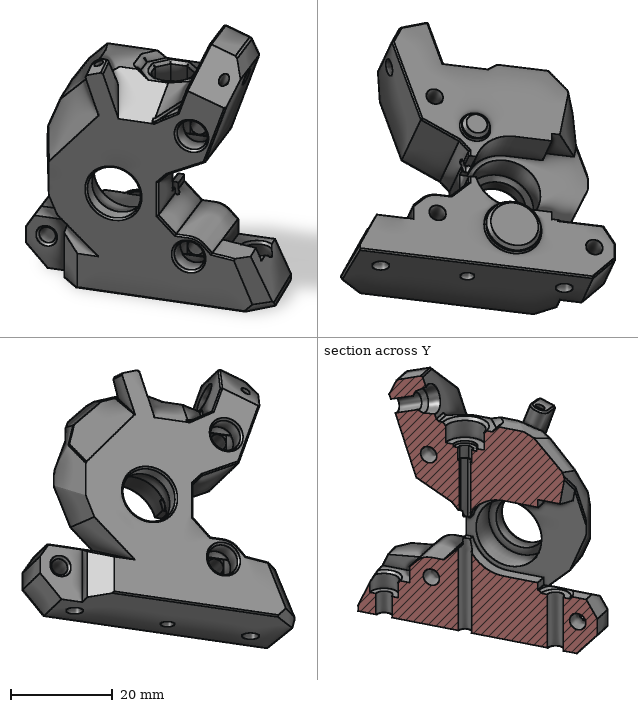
import cadquery as cq
import math

DEPTH = 16.9
BOSS_FACE_Y = 18.4
TOP_Z = 45.9
PAD_Z = 44.55
FAR = 161.05
EDGE = 0.3

LUG_FRONT_Y = 6.9
LUG_RIGHT_X = 8.85
LUG_TOP_Z = 12.2
BASE_CORNER = 4.1
SLOPE_START_Z = 7.6
SLOPE_END_X = 17.3

FACET_EDGE = 0.15
FACET_EDGES = [
    (16.65, 10.9, TOP_Z),
    (6.2, 6.3, 34.75),
    (6.2, 2.7, 29.4),
    (4.5, 7.15, 30.05),
    (5.35, 4.55, 22.05),
]

ARM_TILT = 19
ARM_TOP = (37.9, 53.8)
ARM_SHOULDER = (43.5, 51.8)
ARM_CHAMFER = 7.5

BORE_X = 20.4
BORE_Z = 21.9
BORE_D = 11.0
BORE_CHAMFER = 0.4
SEAT_BORE_D = 14.2
SEAT_BORE_Y = 3.2
CAVITY_D = 16.2
CAVITY_Y = 9.15
SLOT_BOTTOM_Z = 19.7
SLOT_TOP_Z = 24.4
MOUTH_X = 12.9
MOUTH_TOP_Z = 31.7

PATH_X = 28.7
PATH_Y = 11.7
PATH_D = 2.8
SEAT_D = 3.4
SEAT_DEPTH = 3.2

STEP_X = 40.75
STEP_Y = 6.7
STEP_Z = 8.45

SCREW_D = 3.4
HEAD_D = 6.25
HEAD_DEPTH = 4.0
HEAD_CHAMFER = 0.45
BRIDGE_STEP = 0.2
FOOT_HEAD_D = 6.0
FOOT_CHAMFER = 0.55
FOOT_SCREWS = [(9.15, LUG_TOP_Z, 0.55), (46.25, STEP_Z, 3.75)]
LUG_MOUTH_D = 4.4
LUG_HOLE_X = 4.3
LUG_HOLE_Z = 7
FRONT_SCREWS = [(36.55, 36.9), (35.95, 10.45)]
HUMP_R = 4.35
SMALL_HOLE_D = 1.9
PIN_BEVEL = 0.4

ARM_ROOT_BEVEL = 0.45
ARM_ROOT_EDGES = [(34.05, 7, 42.95), (34.8, 12.35, PAD_Z)]
REAR_BEVEL = 0.25
REAR_EDGES = [(4.7, CAVITY_Y, 31.0), (8.3, 14.65, 40.25), (6.4, 10.75, 36.5)]


def prism(points, y_from, y_to):
    """Solid with an outline of (x, z) points, running along Y."""
    outline = cq.Workplane("XZ", origin=(0, y_from, 0)).polyline(points).close()
    return outline.extrude(y_from - y_to)


def cylinder(diameter, start, direction, length):
    return cq.Workplane(cq.Solid.makeCylinder(diameter / 2, length, cq.Vector(start), cq.Vector(direction)))


def cone(diameter_start, diameter_end, start, direction, length):
    return cq.Workplane(
        cq.Solid.makeCone(
            diameter_start / 2, diameter_end / 2, length, cq.Vector(start), cq.Vector(direction)
        )
    )


def slab_beyond(a, b, c, outward):
    """Large slab on the `outward` side of the plane through points a, b and c."""
    origin = cq.Vector(*a)
    along = cq.Vector(*b) - origin
    normal = along.cross(cq.Vector(*c) - origin)
    if normal.dot(cq.Vector(*outward)) < 0:
        normal = -normal
    return cq.Workplane(cq.Plane(origin, along, normal)).rect(FAR, FAR).extrude(FAR)


def arm_point(across, down):
    """(x, z) at a distance across the arm and down along it from its top left corner."""
    tilt = math.radians(ARM_TILT)
    x = ARM_TOP[0] + across * math.cos(tilt) - down * math.sin(tilt)
    z = ARM_TOP[1] - across * math.sin(tilt) - down * math.cos(tilt)
    return (x, z)


def make_plate():
    """Base, foot, wall round the open side and arm, with small edge chamfers front and rear."""
    hump_x, hump_z = FRONT_SCREWS[1]
    hump_end = math.radians(45)
    plate = (
        cq.Workplane("XZ")
        .moveTo(4.5, 0)
        .lineTo(52.4, 0)
        .lineTo(52.4, 1.4)
        .lineTo(51.9, 2.3)
        .lineTo(47.9, 11.0)
        .lineTo(STEP_X, 11.8)
        .lineTo(hump_x + HUMP_R * math.sin(hump_end), hump_z + HUMP_R * math.cos(hump_end))
        .threePointArc(
            (hump_x + HUMP_R * math.sin(hump_end / 2), hump_z + HUMP_R * math.cos(hump_end / 2)),
            (hump_x, hump_z + HUMP_R),
        )
        .lineTo(33.3, hump_z + HUMP_R)
        .lineTo(29.65, 18.4)
        .lineTo(29.65, 25.55)
        .lineTo(31.55, 27.6)
        .lineTo(39.3, 31.4)
        .lineTo(45.15, 48.3)
        .lineTo(*ARM_SHOULDER)
        .lineTo(*ARM_TOP)
        .lineTo(*arm_point(0, 13.0))
        .lineTo(28.4, 38.45)
        .lineTo(21.5, 38.1)
        .lineTo(SLOPE_END_X, LUG_TOP_Z)
        .lineTo(2.4, LUG_TOP_Z)
        .lineTo(0, 8.45)
        .lineTo(0, 4.9)
        .close()
        .extrude(-DEPTH)
    )
    return plate.faces("<Y or >Y").chamfer(EDGE)


def shape_foot(body):
    front_recess = cq.Workplane().box(LUG_RIGHT_X, LUG_FRONT_Y, FAR, centered=False)
    corner = (
        cq.Workplane()
        .polyline([(0, 0), (LUG_RIGHT_X + BASE_CORNER, 0), (LUG_RIGHT_X, BASE_CORNER), (0, BASE_CORNER)])
        .close()
        .extrude(FAR)
    )
    slope_back_y = 2 * (LUG_TOP_Z - SLOPE_START_Z)
    above_slope = (
        cq.Workplane("YZ")
        .polyline([(0, SLOPE_START_Z), (slope_back_y, LUG_TOP_Z), (0, LUG_TOP_Z)])
        .close()
        .extrude(SLOPE_END_X)
    )
    return body.cut(front_recess).cut(corner).cut(above_slope)


def shape_base_end(body):
    """Leaning end face, its two front bevels and the lowered step behind the front wall."""
    planes = [
        ((51.9, 3.1, 2.3), (47.9, 3.1, 11.0), (51.1, DEPTH, 2.3), (1, 0, 0)),
        ((52.4, 3.65, 0), (52.4, 3.65, 1.4), (51.6, DEPTH, 0), (1, 0, 0)),
    ]
    bevels = [
        ((45.3, 0, 11.0), (49.05, 0, 2.15), (48.0, 2.9, 11.0), (1, -1, 0)),
        ((49.05, 0, 1.9), (47.5, 0, 0.25), (52.4, 3.1, 1.9), (1, -1, -1)),
    ]
    end_zone = prism([(42.95, 0), (64.45, 0), (64.45, 13.4), (42.95, 13.4)], 0, DEPTH)
    for plane in planes + bevels:
        body = body.cut(slab_beyond(*plane).intersect(end_zone))
    step = prism([(STEP_X, STEP_Z), (64.45, STEP_Z), (64.45, 13.4), (STEP_X, 13.4)], STEP_Y, DEPTH)
    return body.cut(step)


def shape_arm(body):
    """Bevel that runs from the front of the arm back to its top end."""
    left_x, left_z = arm_point(0, ARM_CHAMFER)
    right_x, right_z = arm_point(10.75, ARM_CHAMFER)
    top_x, top_z = ARM_TOP
    bevel = slab_beyond(
        (left_x, 0, left_z), (right_x, 0, right_z), (top_x, ARM_CHAMFER, top_z), (0, -1, 1)
    )
    above_arm_root = cq.Workplane().box(FAR, FAR, 26.85, centered=(True, True, False)).translate((0, 0, 40.25))
    body = body.cut(bevel.intersect(above_arm_root))
    top_left = (top_x, (ARM_CHAMFER + DEPTH) / 2, top_z)
    bevel_left = ((top_x + left_x) / 2, ARM_CHAMFER / 2, (top_z + left_z) / 2)
    top_right = (ARM_SHOULDER[0], (ARM_CHAMFER + DEPTH) / 2, ARM_SHOULDER[1])
    return body.edges(near_any([top_left, bevel_left, top_right])).chamfer(EDGE)


def near_any(points):
    """Selector for the edges whose middles lie nearest to the given points."""
    selector = cq.NearestToPointSelector(points[0])
    for point in points[1:]:
        selector = selector + cq.NearestToPointSelector(point)
    return selector


def bevel_edges(body, middles, size):
    for middle in middles:
        body = body.edges(near_any([middle])).chamfer(size)
    return body


def make_notch_fill():
    """Narrow bevel in the valley between the housing and the notch floor beside the arm."""
    notch = prism([(28.4, 38.45), (33.95, 41.6), (34.35, PAD_Z), (28.4, PAD_Z)], 0, 7.5)
    return notch.cut(slab_beyond((28.65, 0.2, 38.85), (33.65, 5.35, 41.75), (34.05, 0.2, 39.4), (0, -1, 1)))


def make_head():
    """Faceted housing on the upper left, cut from a block by flat facets."""
    block = prism([(0, 7.5), (21.5, 7.5), (26.85, 21.5), (34.35, 39.75), (35.45, TOP_Z), (0, TOP_Z)], 0, DEPTH)
    facets = [
        ((7, 0, 26.8), (17.2, 0, 38.3), (12.65, 6.45, 42.8), (-1, -1, 1)),
        ((14.1, 14.25, TOP_Z), (19.1, 7.6, TOP_Z), (12.65, 6.45, 42.8), (-1, -1, 1)),
        ((13.65, DEPTH, TOP_Z), (12.65, 6.45, 42.8), (7.05, 7.25, 37.25), (-1, 0, 1)),
        ((7.05, 7.25, 37.25), (5.25, 5.25, 32.2), (3.75, 9.0, 27.9), (-1, 0, 0)),
        ((7, 0, 26.8), (7, 0, 19.6), (3.7, 9.15, 24.6), (-1, 0, 0)),
        ((3.7, 9.15, 24.6), (7, 0, 19.6), (8.75, 0, 15.45), (-1, 0, -1)),
        ((8.75, 0, 15.45), (17.3, 0, 7.6), (11.8, 9.15, 12.2), (-1, 0, -1)),
        ((16.1, 0, 38.35), (26.85, 0, 38.35), (16.1, 7.55, TOP_Z), (0, -1, 1)),
        ((28.4, 0, 38.45), (29.9, 6.35, PAD_Z), (33.8, 8.3, PAD_Z), (1, -1, 1)),
    ]
    for facet in facets:
        block = block.cut(slab_beyond(*facet))
    block = block.edges(near_any(FACET_EDGES)).chamfer(FACET_EDGE)
    pad = (
        cq.Workplane("XY", origin=(0, 0, PAD_Z))
        .polyline([(22.75, 9.9), (27.9, 3.2), (42.95, 3.2), (42.95, 21.5), (30.35, 21.5), (22.75, 13.85)])
        .close()
        .extrude(2.7, taper=-45)
    )
    return block.cut(pad)


def cut_rear(body):
    """Gear cavity, the opening on its left and the slot that runs out to the right."""
    lower_left = (10.95, DEPTH, 33.5)
    overhang = slab_beyond((9.45, DEPTH, 41.95), (7.25, 12.4, 38.8), lower_left, (-1, 0, 0))
    rear_left = cq.Workplane().box(21.5, DEPTH, FAR, centered=False).translate((0, CAVITY_Y, LUG_TOP_Z))
    body = body.cut(overhang.intersect(rear_left.translate((0, 0, MOUTH_TOP_Z - LUG_TOP_Z))))
    openings = [
        (0, MOUTH_X, LUG_TOP_Z, MOUTH_TOP_Z),
        (0, BORE_X, BORE_Z - CAVITY_D / 2, BORE_Z + CAVITY_D / 2),
        (BORE_X, 32.2, SLOT_BOTTOM_Z, SLOT_TOP_Z),
    ]
    for left, right, bottom, top in openings:
        outline = [(left, bottom), (right, bottom), (right, top), (left, top)]
        body = body.cut(prism(outline, CAVITY_Y, DEPTH))
    return body.cut(cylinder(CAVITY_D, (BORE_X, CAVITY_Y, BORE_Z), (0, 1, 0), DEPTH))


def cut_bore(body):
    """Chamfered drive bore that opens into a wider seat behind the front wall."""
    centre = (BORE_X, 0, BORE_Z)
    mouth_d = BORE_D + 2 * BORE_CHAMFER
    body = body.cut(cylinder(BORE_D, centre, (0, 1, 0), DEPTH))
    body = body.cut(cone(mouth_d, BORE_D, centre, (0, 1, 0), BORE_CHAMFER))
    return body.cut(cylinder(SEAT_BORE_D, (BORE_X, SEAT_BORE_Y, BORE_Z), (0, 1, 0), DEPTH))


def cut_path_grooves(body):
    """V grooves along X in the slot floor and ceiling, centred on the vertical path."""
    mouth, root, depth = 1.15, 0.65, 1.7
    for edge_z, away in [(SLOT_TOP_Z, 1), (SLOT_BOTTOM_Z, -1)]:
        groove = (
            cq.Workplane("YZ")
            .polyline(
                [
                    (PATH_Y - mouth, edge_z),
                    (PATH_Y + mouth, edge_z),
                    (PATH_Y + root, edge_z + away * depth),
                    (PATH_Y - root, edge_z + away * depth),
                ]
            )
            .close()
            .extrude(32.2)
        )
        body = body.cut(groove)
    return body


def add_rear_bosses(body):
    """Low round bosses on the rear face, with a bevelled rim and a flared foot."""
    rim, flare = 0.7, 0.3
    for x, z, diameter in [(28.4, 31.0, 5.6), (20.8, 9.15, 11.0)]:
        boss = cylinder(diameter, (x, DEPTH - EDGE, z), (0, 1, 0), BOSS_FACE_Y - DEPTH + EDGE)
        foot = cone(diameter + 2 * flare, diameter, (x, DEPTH, z), (0, 1, 0), flare)
        body = body.union(boss.faces(">Y").chamfer(rim)).union(foot)
    return body


def add_pin(body):
    """Leaning pin with a round back and a flat front flush with the front face, bored from its end."""
    radius, length, tip = 1.95, 11.8, cq.Vector(16.1, 3.75, 47.9)
    tilt, lean = math.radians(ARM_TILT), math.radians(9)
    across = cq.Vector(math.cos(tilt), 0, math.sin(tilt))
    axis = cq.Vector(-math.sin(tilt) * math.cos(lean), -math.sin(lean), math.cos(tilt) * math.cos(lean))
    root = cq.Plane(tip - axis * length, across, axis)
    pin = (
        cq.Workplane(root)
        .moveTo(-radius, 0)
        .threePointArc((0, radius), (radius, 0))
        .lineTo(radius, -FAR)
        .lineTo(-radius, -FAR)
        .close()
        .extrude(length)
    )
    pin = pin.intersect(cq.Workplane().box(FAR, FAR, FAR, centered=(True, False, True)))
    pin = pin.faces(cq.DirectionMinMaxSelector(axis, True)).edges("not <Y").chamfer(PIN_BEVEL)
    return body.union(pin).cut(cq.Workplane(root).circle(SMALL_HOLE_D / 2).extrude(length))


def cut_front_screw(body, x, z):
    """Screw hole with a chamfered head bore whose floor steps down through two thin bridging layers."""
    body = body.cut(cylinder(HEAD_D, (x, 0, z), (0, 1, 0), HEAD_DEPTH))
    body = body.cut(cone(HEAD_D + 2 * HEAD_CHAMFER, HEAD_D, (x, 0, z), (0, 1, 0), HEAD_CHAMFER))
    band = cq.Workplane("XZ", origin=(x, HEAD_DEPTH, z)).rect(FAR, SCREW_D).extrude(-BRIDGE_STEP)
    body = body.cut(band.intersect(cylinder(HEAD_D, (x, 0, z), (0, 1, 0), DEPTH)))
    square = cq.Workplane("XZ", origin=(x, HEAD_DEPTH, z)).rect(SCREW_D, SCREW_D).extrude(-2 * BRIDGE_STEP)
    return body.cut(square).cut(cylinder(SCREW_D, (x, 0, z), (0, 1, 0), FAR))


def cut_foot_screw(body, x, top_z, head_depth):
    """Vertical screw hole through the base with a chamfered head bore."""
    top = (x, PATH_Y, top_z)
    body = body.cut(cylinder(SCREW_D, (x, PATH_Y, 0), (0, 0, 1), top_z))
    body = body.cut(cylinder(FOOT_HEAD_D, top, (0, 0, -1), head_depth))
    mouth_d = FOOT_HEAD_D + 2 * FOOT_CHAMFER
    return body.cut(cone(mouth_d, FOOT_HEAD_D, top, (0, 0, -1), FOOT_CHAMFER))


def cut_lug_hole(body):
    start = (LUG_HOLE_X, LUG_FRONT_Y, LUG_HOLE_Z)
    body = body.cut(cylinder(SCREW_D, start, (0, 1, 0), DEPTH))
    return body.cut(cone(LUG_MOUTH_D, SCREW_D, start, (0, 1, 0), (LUG_MOUTH_D - SCREW_D) / 2))


def cut_arm_holes(body):
    """Tapered head bore and screw hole across the arm, and a small blind hole down from its bevel."""
    tilt = math.radians(ARM_TILT)
    inward = cq.Vector(math.cos(tilt), 0, -math.sin(tilt))
    down = cq.Vector(-math.sin(tilt), 0, -math.cos(tilt))
    hole_down, hole_y = 5.35, 10.85
    taper_end_d, taper_depth, seat_depth = 5.0, 2.4, 1.1
    blind_across, blind_y, blind_end = 5.75, 3.65, 10.75
    x, z = arm_point(0, hole_down)
    mouth = cq.Vector(x, hole_y, z)
    seat = mouth + inward * taper_depth
    body = body.cut(cone(FOOT_HEAD_D, taper_end_d, mouth, inward, taper_depth))
    body = body.cut(cone(taper_end_d, SCREW_D, seat, inward, seat_depth))
    body = body.cut(cylinder(SCREW_D, mouth, inward, DEPTH))
    x, z = arm_point(blind_across, 0)
    return body.cut(cylinder(SMALL_HOLE_D, (x, blind_y, z), down, blind_end))


def cut_top_recess(body):
    """Recess with a round front and an octagonal back, above a hexagonal seat and the vertical path."""
    diameter, rim, depth = 8.2, 0.65, 4.3
    ring_d, ring_depth = 5.0, 0.55

    def bore(size, z_from, height, taper):
        floor = cq.Plane((PATH_X, PATH_Y, z_from))
        circle = cq.Workplane(floor).circle(size / 2).extrude(height, taper=taper)
        octagon = cq.Workplane(floor).polygon(8, size, circumscribed=True).extrude(height, taper=taper)
        back = cq.Workplane().box(FAR, FAR, FAR, centered=(True, False, True)).translate((0, PATH_Y, 0))
        return circle.union(octagon.intersect(back))

    floor_z = PAD_Z - depth
    body = body.cut(bore(diameter, floor_z, depth, 0)).cut(bore(diameter, PAD_Z - rim, rim, -45))
    body = body.cut(cylinder(ring_d, (PATH_X, PATH_Y, floor_z), (0, 0, -1), ring_depth))
    seat = cq.Plane((PATH_X, PATH_Y, floor_z), xDir=(0, 1, 0))
    body = body.cut(cq.Workplane(seat).polygon(6, SEAT_D).extrude(-SEAT_DEPTH))
    body = body.cut(cq.Workplane(seat).polygon(6, PATH_D).extrude(BORE_Z - floor_z))
    return body.cut(cylinder(PATH_D, (PATH_X, PATH_Y, 0), (0, 0, 1), BORE_Z))


body = make_plate()
body = shape_foot(body)
body = shape_base_end(body)
body = shape_arm(body)
body = body.union(make_head())
body = bevel_edges(body, ARM_ROOT_EDGES, ARM_ROOT_BEVEL)
body = body.union(make_notch_fill())
body = cut_rear(body)
body = bevel_edges(body, REAR_EDGES, REAR_BEVEL)
body = cut_path_grooves(body)
body = cut_bore(body)
body = add_rear_bosses(body)
body = add_pin(body)
for screw_x, screw_z in FRONT_SCREWS:
    body = cut_front_screw(body, screw_x, screw_z)
for screw_x, seat_z, head_depth in FOOT_SCREWS:
    body = cut_foot_screw(body, screw_x, seat_z, head_depth)
body = cut_lug_hole(body)
body = cut_arm_holes(body)
body = cut_top_recess(body)
result = body